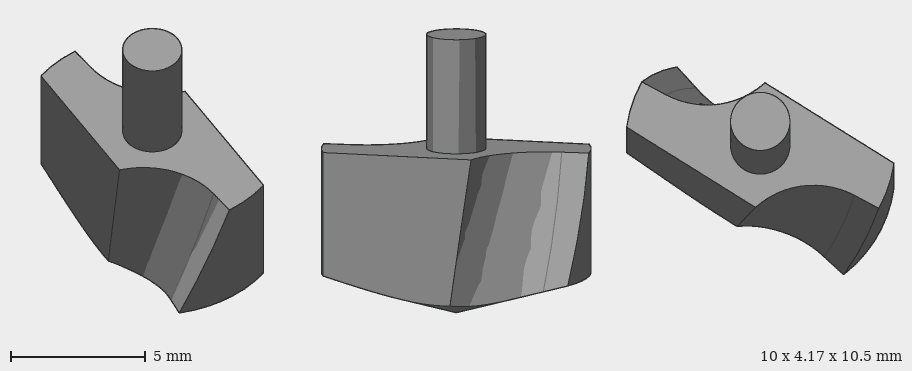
import cadquery as cq
import math

head_diameter = 10.0
head_thickness = 4.17
head_height = 6.2
tip_height = 1.54
shank_diameter = 2.2
shank_length = 4.3

flute_radius = 3.17
lip_start_radius = 3.98
lip_angle_at_top = 3.9
flute_pitch = 72.0
flute_count = 2
cutter_overrun = 1.0

head_radius = head_diameter / 2
flute_outer_reach = head_radius + cutter_overrun
flute_twist = 360 * head_height / flute_pitch
lip_angle_at_tip = lip_angle_at_top - flute_twist


def make_head():
    """Cylinder with a conical point, trimmed to two parallel flats."""
    round_head = (
        cq.Workplane("XZ")
        .moveTo(0, 0)
        .lineTo(head_radius, tip_height)
        .lineTo(head_radius, head_height)
        .lineTo(0, head_height)
        .close()
        .revolve(360, (0, 0), (0, 1))
    )
    flat_slab = cq.Workplane("XY").box(
        head_diameter, head_thickness, head_height, centered=(True, True, False)
    )
    return round_head.intersect(flat_slab)


def make_flute_cutter(start_angle):
    """Twisted cutter: a radial lip running tangentially into a quarter round."""
    quarter_offset = flute_radius * math.sqrt(0.5)
    arc_middle = (lip_start_radius - quarter_offset, quarter_offset - flute_radius)
    arc_end = (lip_start_radius - flute_radius, -flute_radius)
    return (
        cq.Workplane("XY")
        .moveTo(flute_outer_reach, 0)
        .lineTo(lip_start_radius, 0)
        .threePointArc(arc_middle, arc_end)
        .lineTo(flute_outer_reach, -flute_radius)
        .close()
        .twistExtrude(head_height, flute_twist)
        .rotate((0, 0, 0), (0, 0, 1), start_angle)
    )


def make_shank():
    """Plain round shank standing on the head."""
    return (
        cq.Workplane("XY")
        .workplane(offset=head_height)
        .circle(shank_diameter / 2)
        .extrude(shank_length)
    )


head = make_head()
for index in range(flute_count):
    flute_angle = lip_angle_at_tip + index * 360 / flute_count
    head = head.cut(make_flute_cutter(flute_angle))

result = head.union(make_shank())